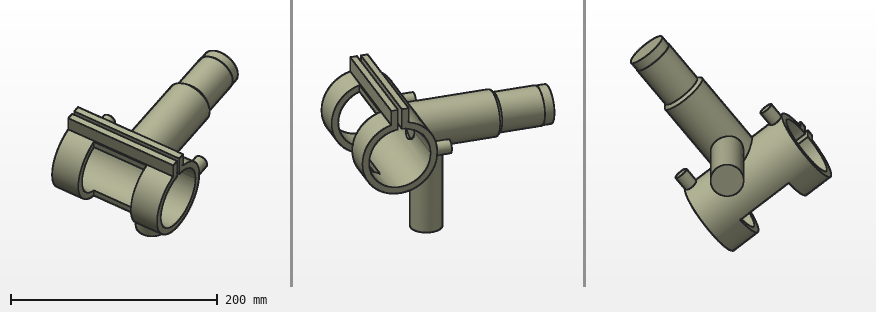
import cadquery as cq


clamp_length = 120.0
ring_radius = 38.5
bore_radius = 31.5

lug_span = 18.0
slit_width = 4.0
lug_top = 52.8

window_length = clamp_length / 2
window_edge_y = -10.0

peg_diameter = 14.0
peg_offset_x = 52.5
peg_end_y = 53.6

overall_length = 211.0
shaft_end_y = overall_length - ring_radius
body_radius = 23.5
neck_radius = 20.0
tip_radius = 19.6
tip_length = 10.0
neck_length = 44.0
taper_length = body_radius - neck_radius
spigot_radius = 12.7

post_diameter = 32.0
post_center_y = 48.0
overall_height = 163.4
post_bottom = lug_top - overall_height


def cylinder_along_x(radius):
    """Cylinder as long as the clamp, on the bore axis."""
    return cq.Workplane("YZ", origin=(-clamp_length / 2, 0, 0)).circle(radius).extrude(clamp_length)


def cylinder_along_y(radius, end_y, x=0):
    """Cylinder from the XZ plane to end_y."""
    return cq.Workplane("XZ").center(x, 0).circle(radius).extrude(-end_y)


def make_clamp():
    """Split ring with two lugs, a window, two pegs and a hole for the spigot."""
    lugs = cq.Workplane("XY").rect(clamp_length, lug_span).extrude(lug_top)
    clamp = cylinder_along_x(ring_radius).union(lugs)
    for x in (-peg_offset_x, peg_offset_x):
        clamp = clamp.union(cylinder_along_y(peg_diameter / 2, peg_end_y, x))

    slit = cq.Workplane("XY").rect(clamp_length, slit_width).extrude(lug_top)
    window_depth = ring_radius + window_edge_y
    window = (
        cq.Workplane("XY")
        .box(window_length, window_depth, 2 * ring_radius)
        .translate((0, window_edge_y - window_depth / 2, 0))
    )
    spigot_hole = cylinder_along_y(spigot_radius, ring_radius)
    return clamp.cut(cylinder_along_x(bore_radius)).cut(slit).cut(window).cut(spigot_hole)


def make_shaft():
    """Stepped shaft and post, saddled onto the ring, with a flat-ended spigot."""
    neck_end_y = shaft_end_y - tip_length
    neck_start_y = neck_end_y - neck_length
    body_end_y = neck_start_y - taper_length
    profile = [
        (0, 0),
        (body_radius, 0),
        (body_radius, body_end_y),
        (neck_radius, neck_start_y),
        (neck_radius, neck_end_y),
        (tip_radius, neck_end_y),
        (tip_radius, shaft_end_y),
        (0, shaft_end_y),
    ]
    turned = cq.Workplane("XY").polyline(profile).close().revolve(360, (0, 0, 0), (0, 1, 0))
    post = (
        cq.Workplane("XY")
        .center(0, post_center_y)
        .circle(post_diameter / 2)
        .extrude(post_bottom)
    )
    spigot = cylinder_along_y(spigot_radius, post_center_y).cut(
        cylinder_along_y(spigot_radius, bore_radius)
    )
    return turned.union(post).cut(cylinder_along_x(ring_radius)).union(spigot)


clamp = make_clamp()
shaft = make_shaft()
result = cq.Compound.makeCompound([clamp.solids().val(), shaft.solids().val()])